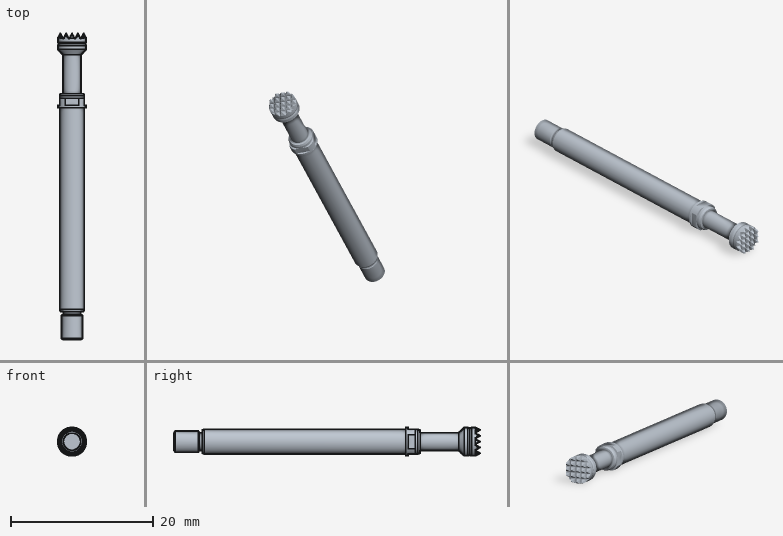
import cadquery as cq

total_length = 43.1
tip_y = total_length / 2
tail_end_y = -tip_y

head_radius = 4.0 / 2
shaft_radius = 2.55 / 2
barrel_radius = 3.5 / 2
collar_radius = head_radius
neck_radius = 2.5 / 2
tail_radius = 3.0 / 2

tooth_pitch = 0.8
tooth_groove_count = 6
tooth_depth = 0.7
tooth_floor_width = 0.1
marking_start = 1.2
marking_width = 0.5
marking_depth = 0.1
head_cone_start = 2.25
head_cone_end = 3.0

barrel_start = 8.45
barrel_chamfer_depth = 0.15
barrel_chamfer_length = 0.3
collar_start = 9.15
collar_end = 10.47
collar_flat_length = 1.0
collar_flat_offset = barrel_radius

tail_length = 3.95
neck_length = 0.4
tail_front_chamfer_length = 0.17
tail_end_chamfer_length = 0.2
tail_end_chamfer_depth = 0.3


def turned_body():
    """Revolve the (radius, distance along Y) outline about the Y axis."""
    marking_y = tip_y - marking_start
    barrel_front_y = tip_y - barrel_start
    barrel_rear_y = tail_end_y + tail_length
    neck_end_y = barrel_rear_y - neck_length
    outline = [
        (0, tip_y),
        (head_radius, tip_y),
        (head_radius, marking_y),
        (head_radius - marking_depth, marking_y - marking_width / 2),
        (head_radius, marking_y - marking_width),
        (head_radius, tip_y - head_cone_start),
        (shaft_radius, tip_y - head_cone_end),
        (shaft_radius, barrel_front_y),
        (barrel_radius - barrel_chamfer_depth, barrel_front_y),
        (barrel_radius, barrel_front_y - barrel_chamfer_length),
        (barrel_radius, tip_y - collar_start),
        (collar_radius, tip_y - collar_start),
        (collar_radius, tip_y - collar_end),
        (barrel_radius, tip_y - collar_end),
        (barrel_radius, barrel_rear_y + barrel_chamfer_length),
        (barrel_radius - barrel_chamfer_depth, barrel_rear_y),
        (neck_radius, barrel_rear_y),
        (neck_radius, neck_end_y),
        (tail_radius, neck_end_y - tail_front_chamfer_length),
        (tail_radius, tail_end_y + tail_end_chamfer_length),
        (tail_radius - tail_end_chamfer_depth, tail_end_y),
        (0, tail_end_y),
    ]
    return cq.Workplane("XY").polyline(outline).close().revolve(360, (0, 0, 0), (0, 1, 0))


def tooth_grooves():
    """Parallel flat-bottomed V grooves running along Z; their ridges are one tooth pitch apart."""
    grooves = cq.Workplane("XY")
    for index in range(tooth_groove_count):
        valley_x = (index - (tooth_groove_count - 1) / 2) * tooth_pitch
        groove = (
            cq.Workplane("XY")
            .polyline([
                (valley_x - tooth_pitch / 2, tip_y),
                (valley_x - tooth_floor_width / 2, tip_y - tooth_depth),
                (valley_x + tooth_floor_width / 2, tip_y - tooth_depth),
                (valley_x + tooth_pitch / 2, tip_y),
            ])
            .close()
            .extrude(2 * head_radius, both=True)
        )
        grooves = grooves.add(groove)
    return grooves.combine()


def collar_flat_cutter():
    """Block whose removal leaves one flat on the +Z side of the collar."""
    flat_rear_y = tip_y - collar_start - collar_flat_length
    block = cq.Workplane("XY").box(
        2 * collar_radius, collar_flat_length, collar_radius, centered=(True, False, False)
    )
    return block.translate((0, flat_rear_y, collar_flat_offset))


result = turned_body()

for angle in (0, 90):
    result = result.cut(tooth_grooves().rotate((0, 0, 0), (0, 1, 0), angle))

for angle in (0, 90, 180, 270):
    result = result.cut(collar_flat_cutter().rotate((0, 0, 0), (0, 1, 0), angle))